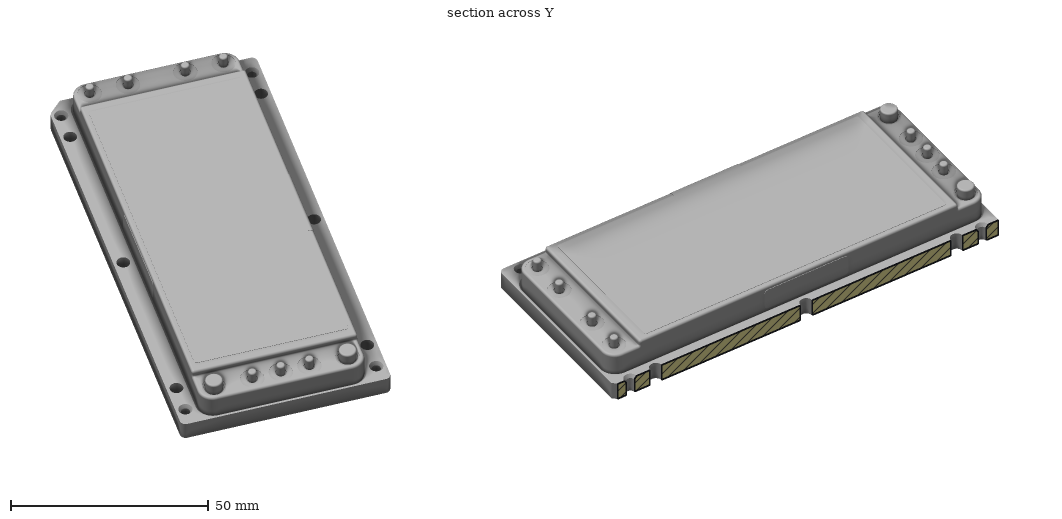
import cadquery as cq

plate_length = 116.8
plate_width = 55.8
plate_height = 5.1
plate_corner_radius = 1.5
key_corner_leg = 3.7
key_corner_blend = 2.2

cover_length = 114.5
cover_width = 44.0
cover_top = 12.7
cover_corner_radius = 4.0
cover_edge_radius = 0.7
seam_width = 0.6
seam_flare_angle = 45.0

ledge_top = 11.0
raised_length = 96.7
step_foot_radius = 0.4
step_brow_radius = 0.7

hole_row_y = 25.4
clear_hole_x = 45.7
clear_hole_diameter = 3.5
corner_hole_x = 53.4
corner_hole_diameter = 2.3
corner_sink_diameter = 3.6
corner_sink_depth = 0.9

terminal_x = corner_hole_x
terminal_top = 13.8
terminal_edge_radius = 0.5
inner_terminal_y = 7.6
outer_terminal_y = 17.8
pin_diameter = 2.2
post_diameter = 4.5
bead_diameter = 6.2
bead_recess = 0.1
well_clearance = 0.4
well_depth = 0.5

label_thickness = 0.1
top_label_length = 2 * clear_hole_x
top_label_width = 41.0
top_label_radius = 0.6
tab_length = 20.5
side_label_length = 25.5
side_label_offset = 2.2
side_label_bottom = 5.5
side_label_top = 11.7
side_label_radius = 1.2


def make_plate():
    """Flat plate with three rounded corners and one blended corner cut at -X, -Y."""
    half_length = plate_length / 2
    half_width = plate_width / 2
    plate = (
        cq.Workplane("XY")
        .moveTo(-half_length, half_width)
        .lineTo(-half_length, -half_width + key_corner_leg)
        .lineTo(-half_length + key_corner_leg, -half_width)
        .lineTo(half_length, -half_width)
        .lineTo(half_length, half_width)
        .close()
        .extrude(plate_height)
    )
    plate = plate.edges("|Z and (>X or >Y)").fillet(plate_corner_radius)
    key_edge = cq.selectors.NearestToPointSelector(
        (-half_length + key_corner_leg, -half_width, plate_height / 2)
    )
    return plate.edges(key_edge).fillet(key_corner_blend)


def cover_outline():
    """Rounded rectangle that the cover fills in plan."""
    return cq.Sketch().rect(cover_length, cover_width).vertices().fillet(cover_corner_radius)


def make_seam():
    """Flaring cutter that leaves a V-shaped seam in the plate around the cover."""
    seam = cq.Workplane("XY", origin=(0, 0, plate_height - seam_width)).placeSketch(cover_outline())
    return seam.extrude(seam_width, taper=-seam_flare_angle)


def make_cover():
    """Cover with a lowered ledge at each end and a continuous rounded top edge."""
    cover = cq.Workplane("XY").placeSketch(cover_outline()).extrude(cover_top)
    ledge_length = (cover_length - raised_length) / 2
    ledge_x = (cover_length - ledge_length) / 2
    for x in (-ledge_x, ledge_x):
        ledge = cq.Workplane("XY", origin=(x, 0, ledge_top)).rect(ledge_length, cover_width)
        cover = cover.cut(ledge.extrude(cover_top - ledge_top))
    cover = cover.faces(">Z").edges("|Y").fillet(step_brow_radius)
    for x in (-raised_length / 2, raised_length / 2):
        step_foot = cq.selectors.NearestToPointSelector((x, 0, ledge_top))
        cover = cover.edges(step_foot).fillet(step_foot_radius)
    return cover.faces(">Z").edges(">Y or <Y").fillet(cover_edge_radius)


def drill_mounting_holes(plate):
    """Six clearance holes and four countersunk corner holes through the plate."""
    rows = (-hole_row_y, hole_row_y)
    clear_points = [(x, y) for x in (-clear_hole_x, 0, clear_hole_x) for y in rows]
    corner_points = [(x, y) for x in (-corner_hole_x, corner_hole_x) for y in rows]
    bottom = cq.Workplane("XY")
    clear_holes = bottom.pushPoints(clear_points).circle(clear_hole_diameter / 2).extrude(plate_height)
    corner_holes = bottom.pushPoints(corner_points).circle(corner_hole_diameter / 2).extrude(plate_height)
    plate = plate.cut(clear_holes).cut(corner_holes)
    sink = cq.Solid.makeCone(corner_hole_diameter / 2, corner_sink_diameter / 2, corner_sink_depth)
    for x, y in corner_points:
        plate = plate.cut(cq.Workplane(sink.translate(cq.Vector(x, y, plate_height - corner_sink_depth))))
    return plate


def add_terminal(body, x, y, diameter):
    """Terminal with a rounded tip, standing in a narrow well amid a shallow bead recess."""
    ledge = cq.Workplane("XY", origin=(x, y, ledge_top))
    body = body.cut(ledge.circle(bead_diameter / 2).extrude(-bead_recess))
    body = body.cut(ledge.circle(diameter / 2 + well_clearance).extrude(-well_depth))
    terminal = (
        cq.Workplane("XY", origin=(x, y, ledge_top - well_depth))
        .circle(diameter / 2)
        .extrude(terminal_top - ledge_top + well_depth)
        .faces(">Z")
        .edges()
        .fillet(terminal_edge_radius)
    )
    return body.union(terminal)


def add_terminals(body):
    """Four pins on the -X ledge; three pins between two thick posts on the +X ledge."""
    for y in (-outer_terminal_y, -inner_terminal_y, inner_terminal_y, outer_terminal_y):
        body = add_terminal(body, -terminal_x, y, pin_diameter)
    for y in (-inner_terminal_y, 0, inner_terminal_y):
        body = add_terminal(body, terminal_x, y, pin_diameter)
    for y in (-outer_terminal_y, outer_terminal_y):
        body = add_terminal(body, terminal_x, y, post_diameter)
    return body


def make_top_label():
    """Thin label on the raised top."""
    label = cq.Workplane("XY", origin=(0, 0, cover_top)).rect(top_label_length, top_label_width)
    return label.extrude(label_thickness).edges("|Z").fillet(top_label_radius)


def make_label_tab():
    """Tab of the top label, wrapped over the rounded +Y edge and down the wall."""
    label_edge = top_label_width / 2 - label_thickness
    outer_wall = cover_width / 2 + label_thickness
    tab = (
        cq.Workplane("YZ", origin=(-tab_length / 2, 0, 0))
        .moveTo(label_edge, side_label_bottom)
        .lineTo(outer_wall, side_label_bottom)
        .lineTo(outer_wall, cover_top + label_thickness)
        .lineTo(label_edge, cover_top + label_thickness)
        .close()
        .extrude(tab_length)
    )
    return tab.edges(">Y and >Z").fillet(cover_edge_radius + label_thickness)


def make_side_label():
    """Thin label on the -Y wall of the cover."""
    label = cq.Workplane(
        "XZ", origin=(side_label_offset, -cover_width / 2, (side_label_bottom + side_label_top) / 2)
    ).rect(side_label_length, side_label_top - side_label_bottom)
    return label.extrude(label_thickness).edges("|Y").fillet(side_label_radius)


plate = make_plate().cut(make_seam())
result = drill_mounting_holes(plate).union(make_cover())
result = add_terminals(result)
result = result.union(make_top_label()).union(make_label_tab()).union(make_side_label())